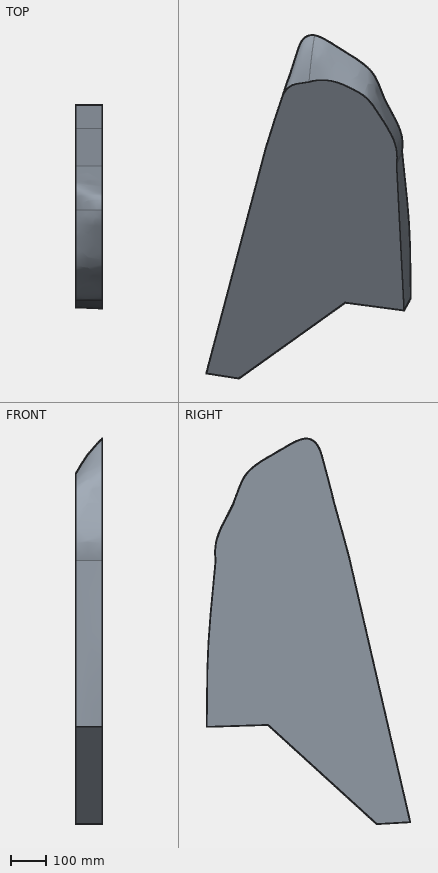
import cadquery as cq

THICKNESS = 76.0
LENGTH = 582.0
HEIGHT = 1102.0

HEEL = (LENGTH, 5.0)
TOE = (486.0, 0.0)
NOTCH = (175.0, 283.0)
ROOT_HEIGHT = 278.0
INNER_ROOT_Y = 3.0
LEADING_TOP = (25.0, 754.0)
LEADING_BULGE = (5.0, 529.0)
MIDDLE_BULGE = (10.0, 529.0)
TRAILING_TOP = (408.0, 760.0)
SEAM_Y = 282.0

TRAILING_SPLIT = 292.0

INNER_PEAK = (SEAM_Y, 989.0)
INNER_FRONT = [(28.0, 809.0), (77.0, 909.0), (120.0, 963.0), (152.0, 980.0), (214.0, 1000.0), (242.0, 1000.0)]
INNER_REAR = [(310.0, 982.0), (327.0, 975.0), (344.0, 962.0), (355.0, 944.0), (365.0, 914.0), (387.0, 837.0)]
OUTER_PEAK = (SEAM_Y, HEIGHT)
OUTER_FRONT = [(28.0, 809.0), (77.0, 919.0), (113.0, 1000.0), (143.0, 1028.0), (217.0, 1072.0), (264.0, 1097.0)]
OUTER_REAR = [(311.0, 1090.0), (322.0, 1073.0), (336.0, 1025.0), (347.0, 986.0), (365.0, 914.0), (387.0, 837.0)]

TIP_BOW = 0.11


def middle_point(inner_point, outer_point):
    """Point midway between matching tip points, raised to make the tip convex."""
    gap = outer_point[1] - inner_point[1]
    y = (inner_point[0] + outer_point[0]) / 2
    z = inner_point[1] + (0.5 + TIP_BOW) * gap
    return (y, z)


def middle_curve(inner_curve, outer_curve):
    """Tip curve of the middle outline."""
    return [middle_point(a, b) for a, b in zip(inner_curve, outer_curve)]


def trailing_point(z):
    """Point at height z on the straight trailing edge."""
    fraction = (z - HEEL[1]) / (TRAILING_TOP[1] - HEEL[1])
    y = HEEL[0] + fraction * (TRAILING_TOP[0] - HEEL[0])
    return (y, z)


def fin_outline(x, root_y, bulge, front_curve, peak, rear_curve):
    """Closed fin outline at x; a bulge point bows the leading edge."""

    def place(point):
        return cq.Vector(x, point[0], point[1])

    root = (root_y, ROOT_HEIGHT)
    if bulge:
        points = [place(root), place(bulge), place(LEADING_TOP)]
        upward = cq.Vector(0, 0, 1)
        along_top = points[2] - points[1]
        leading = cq.Edge.makeSpline(points, tangents=[upward, along_top])
    else:
        leading = cq.Edge.makeLine(place(root), place(LEADING_TOP))

    front_points = [LEADING_TOP, *front_curve, peak]
    rear_points = [peak, *rear_curve, TRAILING_TOP]
    edges = [leading]
    for points in (front_points, rear_points):
        edges.append(cq.Edge.makeSpline([place(p) for p in points]))

    corners = [TRAILING_TOP, trailing_point(TRAILING_SPLIT), HEEL, TOE, NOTCH, root]
    for start, end in zip(corners, corners[1:]):
        edges.append(cq.Edge.makeLine(place(start), place(end)))
    return cq.Wire.assembleEdges(edges)


inner = fin_outline(0, INNER_ROOT_Y, None, INNER_FRONT, INNER_PEAK, INNER_REAR)
outer = fin_outline(THICKNESS, 0, LEADING_BULGE, OUTER_FRONT, OUTER_PEAK, OUTER_REAR)
middle = fin_outline(
    THICKNESS / 2,
    INNER_ROOT_Y / 2,
    MIDDLE_BULGE,
    middle_curve(INNER_FRONT, OUTER_FRONT),
    middle_point(INNER_PEAK, OUTER_PEAK),
    middle_curve(INNER_REAR, OUTER_REAR),
)
fin = cq.Solid.makeLoft([inner, middle, outer])

result = cq.Workplane(obj=fin)